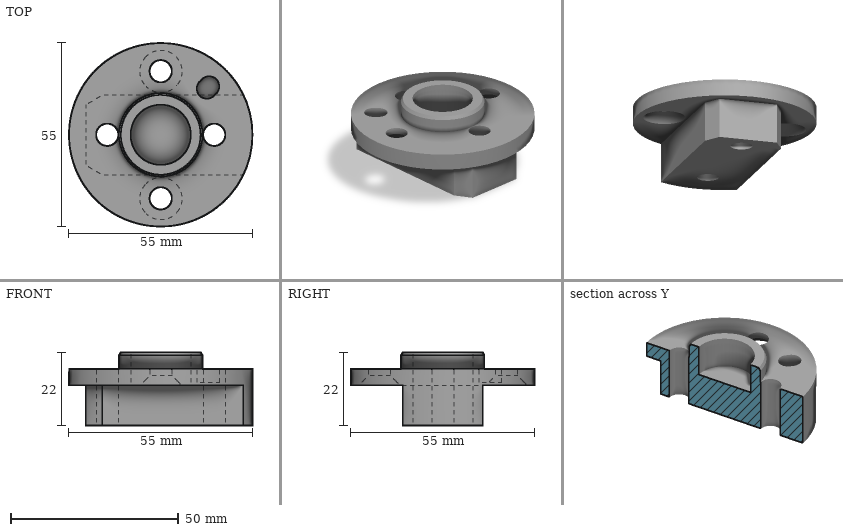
import cadquery as cq
import math

flange_diameter = 54.95
flange_radius = flange_diameter / 2
flange_thickness = 5.0

hub_diameter = 25.0
hub_height = 5.0
rim_bevel_height = 1.0
rim_bevel_angle = 30.0
rim_bevel_width = rim_bevel_height * math.tan(math.radians(rim_bevel_angle))
bore_diameter = 18.0
bore_depth = hub_height + flange_thickness

block_height = 12.0
block_half_width = 12.0
block_reach = 22.5
corner_cut_x = 5.0
corner_cut_y = 2.95

hole_diameter = 6.6
hole_offset_x = 16.0
hole_offset_y = 19.0
countersink_depth = 3.0
slot_width = 6.0
slot_center_spacing = 1.0
slot_length = slot_width + slot_center_spacing
slot_angle = 45.0
slot_radius = 20.0
slot_depth = 4.0

flange_top = block_height + flange_thickness
hub_top = flange_top + hub_height


def make_block():
    """Block with two cut corners on -X and an end rounded to the flange edge on +X."""
    end_x = math.sqrt(flange_radius**2 - block_half_width**2)
    cut_half_width = block_half_width - corner_cut_y
    return (
        cq.Workplane("XY")
        .moveTo(end_x, -block_half_width)
        .threePointArc((flange_radius, 0), (end_x, block_half_width))
        .lineTo(corner_cut_x - block_reach, block_half_width)
        .lineTo(-block_reach, cut_half_width)
        .lineTo(-block_reach, -cut_half_width)
        .lineTo(corner_cut_x - block_reach, -block_half_width)
        .close()
        .extrude(block_height)
    )


def make_flange():
    plane = cq.Workplane("XY").workplane(offset=block_height)
    return plane.circle(flange_radius).extrude(flange_thickness)


def make_hub():
    """Hub whose top rim is bevelled more steeply than 45 degrees."""
    hub_radius = hub_diameter / 2
    return (
        cq.Workplane("XZ")
        .moveTo(0, flange_top)
        .lineTo(hub_radius, flange_top)
        .lineTo(hub_radius, hub_top - rim_bevel_height)
        .lineTo(hub_radius - rim_bevel_width, hub_top)
        .lineTo(0, hub_top)
        .close()
        .revolve(360, (0, 0), (0, 1))
    )


def make_bore():
    plane = cq.Workplane("XY").workplane(offset=hub_top)
    return plane.circle(bore_diameter / 2).extrude(-bore_depth)


def make_mounting_holes():
    """Four through holes; the pair on the X axis also passes through the block."""
    centers = [
        (hole_offset_x, 0),
        (-hole_offset_x, 0),
        (0, hole_offset_y),
        (0, -hole_offset_y),
    ]
    plane = cq.Workplane("XY").pushPoints(centers)
    return plane.circle(hole_diameter / 2).extrude(flange_top)


def make_countersinks():
    """90 degree countersinks in the flange underside, on the two Y axis holes."""
    hole_radius = hole_diameter / 2
    cone = cq.Solid.makeCone(hole_radius + countersink_depth, hole_radius, countersink_depth)
    centers = [(0, hole_offset_y), (0, -hole_offset_y)]
    plane = cq.Workplane("XY").workplane(offset=block_height).pushPoints(centers)
    return plane.eachpoint(lambda place: cone.moved(place))


def make_slot():
    """Short blind slot, lengthwise along the radius at the slot angle."""
    return (
        cq.Workplane("XY")
        .workplane(offset=flange_top)
        .center(slot_radius, 0)
        .slot2D(slot_length, slot_width)
        .extrude(-slot_depth)
        .rotate((0, 0, 0), (0, 0, 1), slot_angle)
    )


body = make_block().union(make_flange()).union(make_hub())
body = body.cut(make_bore()).cut(make_slot())
result = body.cut(make_mounting_holes()).cut(make_countersinks())